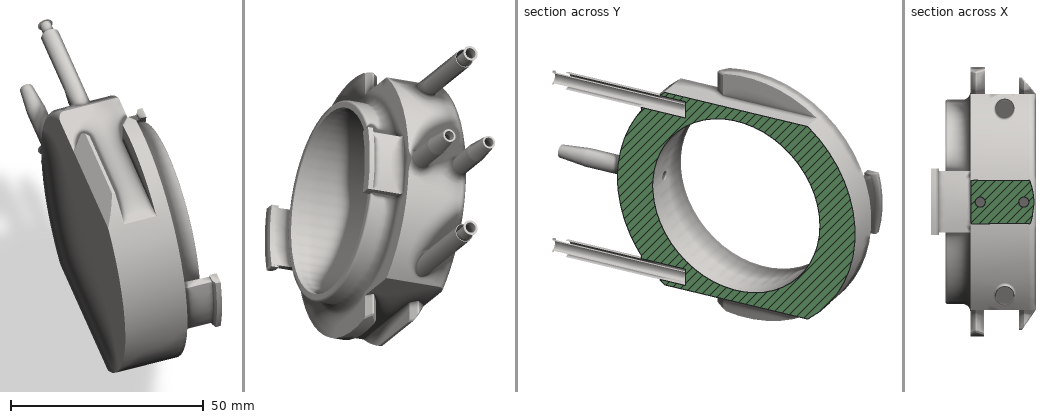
import cadquery as cq

plate_radius = 35.0
plate_depth = 17.0
flat_height = 28.0
front_fillet = 2.0

selection_margin = 0.2

spigot_radius = 53.0 / 2
spigot_length = 6.5
spigot_root_fillet = 2.1
spigot_tip_fillet = 0.6
chamber_radius = 49.0 / 2
chamber_floor = 1.5

rail_embedding = 2.0
rail_foot_height = flat_height - rail_embedding
rail_point_flat = 0.45
rail_bevel = 0.35
rail_tip_limit = -6.0
rear_rail_widths = {1: 3.8, -1: 3.5}
rear_rail_point_x = -9.3
rear_rail_point_inset = 1.5
rear_rail_back_x = -7.4
rear_rail_front_x = -6.6
wedge_heights = {1: 32.3, -1: 33.2}
wedge_back_y = 4.4
wedge_tip_y = 3.6
wedge_point_y = 2.8
wedge_point_x = -9.6
wedge_back_x = -7.7
wedge_front_x = -7.3

clip_length = 10.18
clip_base_inner_radius = 29.3
clip_tip_inner_radius = 29.75
clip_outer_radius = 31.5
clip_head_radius = 32.9
clip_half_width = 8.0
clip_head_half_width = 8.6
clip_head_thickness = 1.4
clip_head_slope = 0.6
clip_root_fillet = 0.8

port_radius = 2.5
port_tip_radius = 1.75
port_bore_radius = 1.25
overall_length = 89.88
port_tip_x = plate_radius - overall_length
port_cone_x = -47.0
port_root_fillet = 1.9
inlet_y = plate_depth - port_radius
outlet_y = 3.2
inlet_overrun = 4.0
port_inner_x = -20.0

pipe_radius = 4.9 / 2
pipe_end_x = -50.0
pipe_y = 8.05
pipe_z = 24.3
pipe_root_fillet = 0.5
pipe_bore_radius = 4.6 / 2
liner_radius = 3.0 / 2
liner_bore_radius = 2.8 / 2
liner_inner_x = -15.0
pipe_floor = 3.0
pipe_inner_x = liner_inner_x + pipe_floor
liner_end_x = -54.0
liner_lip_radius = 2.0
liner_lip_thickness = 0.15


def disc(radius, start_y, end_y):
    """Cylinder about the Y axis between two Y positions."""
    return cq.Workplane("XZ", origin=(0, start_y, 0)).circle(radius).extrude(start_y - end_y)


def rod(radius, start_x, end_x, y, z):
    """Cylinder along X between two X positions."""
    return cq.Workplane("YZ", origin=(start_x, y, z)).circle(radius).extrude(end_x - start_x)


def make_core(depth):
    """Disc trimmed by the two flats, with its left front edge rounded."""
    band = cq.Workplane("XY").box(2 * plate_radius, 2 * depth, 2 * flat_height)
    core = disc(plate_radius, 0, depth).intersect(band)
    return core.faces("<Y").edges("<X").fillet(front_fillet)


def bevel_end(rail_body, side):
    """Bevels the outer edges of the pointed end of a rail."""
    near_end = (2 * rail_tip_limit, -selection_margin, side * (rail_foot_height + rail_bevel))
    far_end = (rail_tip_limit, plate_depth + selection_margin, side * plate_radius)
    tip_region = cq.selectors.BoxSelector(near_end, far_end, boundingbox=True)
    tip_edges = rail_body.edges("not |Z").edges(tip_region)
    return tip_edges.chamfer(rail_bevel)


def rail(outline, side):
    """Rail on the flat at +Z or -Z: the outline raised to the rim of the disc."""
    slab = cq.Workplane("XY").polyline(outline).close().extrude(side * plate_radius)
    below = cq.Workplane("XY").box(4 * plate_radius, 4 * plate_depth, 2 * rail_foot_height)
    return slab.cut(below).intersect(disc(plate_radius, 0, plate_depth))


def make_rear_rail(side):
    front_y = plate_depth - rear_rail_widths[side]
    point_y = plate_depth - rear_rail_point_inset
    outline = [
        (rear_rail_back_x, plate_depth),
        (rear_rail_point_x, point_y + rail_point_flat / 2),
        (rear_rail_point_x, point_y - rail_point_flat / 2),
        (rear_rail_front_x, front_y),
        (plate_radius, front_y),
        (plate_radius, plate_depth),
    ]
    return bevel_end(rail(outline, side), side)


def make_wedge_rail(side):
    outline = [
        (wedge_back_x, wedge_back_y),
        (wedge_point_x, wedge_point_y + rail_point_flat / 2),
        (wedge_point_x, wedge_point_y - rail_point_flat / 2),
        (wedge_front_x, 0),
        (plate_radius, 0),
        (plate_radius, wedge_back_y),
    ]
    tip_z = side * wedge_heights[side]
    section = [
        (0, 0),
        (0, side * flat_height),
        (wedge_tip_y, tip_z),
        (wedge_back_y, tip_z),
        (wedge_back_y, 0),
    ]
    wedge = cq.Workplane("YZ").polyline(section).close().extrude(plate_radius, both=True)
    return bevel_end(rail(outline, side).intersect(wedge), side)


def make_spigot():
    """Rear spigot, revolved about the Y axis, with a flared root and a rounded rim."""
    rear_y = plate_depth + spigot_length
    root_y = plate_depth + spigot_root_fillet
    return (
        cq.Workplane("XY")
        .moveTo(0, plate_depth)
        .lineTo(spigot_radius + spigot_root_fillet, plate_depth)
        .radiusArc((spigot_radius, root_y), spigot_root_fillet)
        .lineTo(spigot_radius, rear_y - spigot_tip_fillet)
        .radiusArc((spigot_radius - spigot_tip_fillet, rear_y), -spigot_tip_fillet)
        .lineTo(0, rear_y)
        .close()
        .revolve(360, (0, 0, 0), (0, 1, 0))
    )


def make_clips():
    """Two hooked clips, cut from rings about the Y axis."""
    rear_y = plate_depth + clip_length
    head_y = rear_y - clip_head_thickness
    leg_y = head_y - clip_head_slope
    root_y = plate_depth + clip_root_fillet
    root_radius = clip_outer_radius + clip_root_fillet
    leg_ring = (
        cq.Workplane("XY")
        .moveTo(clip_base_inner_radius, plate_depth)
        .lineTo(root_radius, plate_depth)
        .radiusArc((clip_outer_radius, root_y), clip_root_fillet)
        .lineTo(clip_outer_radius, rear_y)
        .lineTo(clip_tip_inner_radius, rear_y)
        .close()
        .revolve(360, (0, 0, 0), (0, 1, 0))
    )
    head_ring = (
        cq.Workplane("XY")
        .moveTo(clip_tip_inner_radius, leg_y)
        .lineTo(clip_outer_radius, leg_y)
        .lineTo(clip_head_radius, head_y)
        .lineTo(clip_head_radius, rear_y)
        .lineTo(clip_tip_inner_radius, rear_y)
        .close()
        .revolve(360, (0, 0, 0), (0, 1, 0))
    )
    span = cq.Workplane("XY", origin=(0, plate_depth, 0))
    leg_band = span.box(4 * plate_radius, 4 * clip_length, 2 * clip_half_width)
    head_band = span.box(4 * plate_radius, 4 * clip_length, 2 * clip_head_half_width)
    return leg_ring.intersect(leg_band).union(head_ring.intersect(head_band))


def make_port(y):
    """Tapered hose port along X, reaching into the chamber wall."""
    return (
        cq.Workplane("XY", origin=(0, y, 0))
        .moveTo(port_tip_x, 0)
        .lineTo(port_tip_x, port_tip_radius)
        .lineTo(port_cone_x, port_radius)
        .lineTo(port_inner_x, port_radius)
        .lineTo(port_inner_x, 0)
        .close()
        .revolve(360, (0, 0, 0), (1, 0, 0))
    )


def root_edges(y, z, radius):
    """Picks the edges where a port or pipe along X meets the rim of the plate."""
    reach = radius + selection_margin
    near_end = (-plate_radius - selection_margin, y - reach, z - reach)
    far_end = (port_inner_x + selection_margin, y + reach, z + reach)
    return cq.selectors.BoxSelector(near_end, far_end, boundingbox=True)


def make_housing():
    body = make_core(plate_depth + inlet_overrun)
    for y in (inlet_y, outlet_y):
        body = body.union(make_port(y))
        body = body.edges(root_edges(y, 0, port_radius)).fillet(port_root_fillet)
    for side in (1, -1):
        z = side * pipe_z
        body = body.union(rod(pipe_radius, pipe_end_x, pipe_inner_x, pipe_y, z))
        body = body.edges(root_edges(pipe_y, z, pipe_radius)).fillet(pipe_root_fillet)
    body = body.cut(disc(2 * plate_radius, plate_depth, plate_depth + inlet_overrun))

    for side in (1, -1):
        body = body.union(make_rear_rail(side)).union(make_wedge_rail(side))
    body = body.union(make_spigot()).union(make_clips())

    body = body.cut(disc(chamber_radius, chamber_floor, plate_depth + spigot_length))
    for y in (inlet_y, outlet_y):
        body = body.cut(rod(port_bore_radius, port_tip_x, 0, y, 0))
    for side in (1, -1):
        body = body.cut(rod(pipe_bore_radius, pipe_end_x, liner_inner_x, pipe_y, side * pipe_z))
    return body


def make_liner(side):
    """Thin tube standing on the floor of the pipe bore, with a lip at its outer end."""
    z = side * pipe_z
    tube = rod(liner_radius, liner_end_x, liner_inner_x, pipe_y, z)
    lip = rod(liner_lip_radius, liner_end_x, liner_end_x + liner_lip_thickness, pipe_y, z)
    return tube.union(lip).cut(rod(liner_bore_radius, liner_end_x, liner_inner_x, pipe_y, z))


housing = make_housing()
liners = [make_liner(side) for side in (1, -1)]
result = cq.Compound.makeCompound([housing.val(), *[liner.val() for liner in liners]])